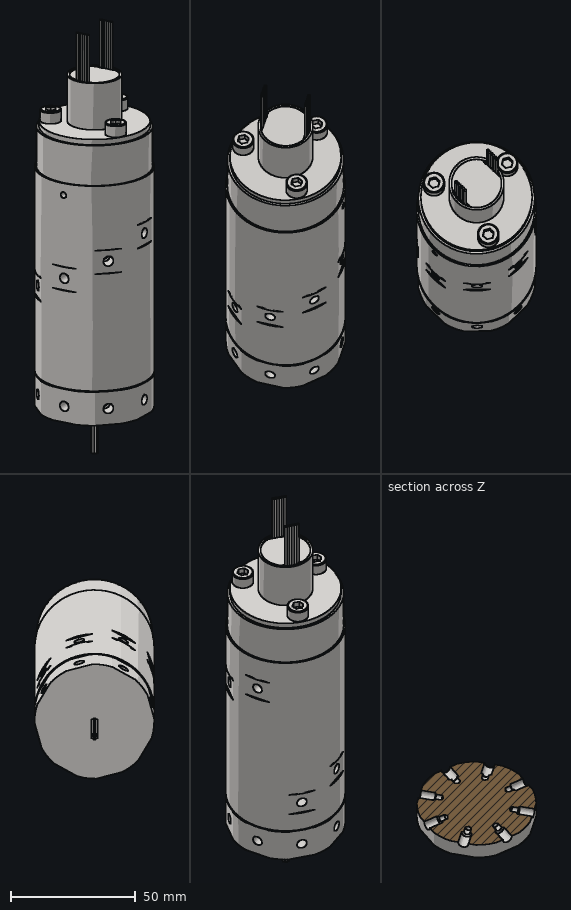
import cadquery as cq
import math

body_radius = 24.0
port_ring_height = 14.3
groove_height = 0.4
groove_depth = 0.3
body_top = 102.0
cover_radius = 23.3
cover_top = 119.0
flange_radius = 22.3
flange_top = 121.3
boss_radius = 11.0
boss_top = 141.1

port_count = 8
port_step_angle = 360 / port_count
flat_distance = 23.4
flat_height = 10.0
port_diameter = 4.1
port_depth = 6.0
pilot_diameter = 2.4
pilot_depth = 9.0
drill_point_angle = 118.0
ring_port_z = 6.9
first_port_angle = 90.0
first_port_z = 28.5
port_rise = 8.22

pin_hole_diameter = 2.5
pin_hole_depth = 5.0
pin_hole_z = 97.0
pin_hole_angle = 270.0

screw_count = 3
first_screw_angle = 90.0
screw_circle_radius = 17.6
screw_head_diameter = 8.5
screw_head_height = 5.0
screw_chamfer = 0.4
socket_across_flats = 4.0
socket_depth = 2.5

wire_diameter = 0.97
wire_gap = 0.03
wire_pitch = wire_diameter + wire_gap
wire_length = 20.0
wire_anchor = 3.0
row_wire_count = 6
bundle_outer_count = 6
bundle_first_angle = 30.0

recess_radius = 10.0
recess_depth = 0.2
slot_flat_distance = 8.6
slot_depth = 2.0
wire_row_y = slot_flat_distance + wire_diameter / 2


def cylinder(radius, bottom, top):
    return cq.Workplane("XY").workplane(offset=bottom).circle(radius).extrude(top - bottom)


def make_housing():
    groove_top = port_ring_height + groove_height
    housing = cylinder(body_radius, 0, port_ring_height)
    housing = housing.union(cylinder(body_radius - groove_depth, port_ring_height, groove_top))
    housing = housing.union(cylinder(body_radius, groove_top, body_top))
    housing = housing.union(cylinder(cover_radius, body_top, cover_top))
    housing = housing.union(cylinder(flange_radius, cover_top, flange_top))
    return housing.union(cylinder(boss_radius, flange_top, boss_top))


def flat_cutter(angle, bottom, top):
    """Block that removes everything outside the flat between two heights."""
    thickness = 2 * (body_radius - flat_distance)
    block = cq.Workplane("XY").box(thickness, body_radius, top - bottom, centered=(False, True, False))
    return block.translate((flat_distance, 0, bottom)).rotate((0, 0, 0), (0, 0, 1), angle)


def radial_drill(angle, z, diameter, depth, start_radius):
    """Drill with a conical point, entering towards the axis."""
    radius = diameter / 2
    point_length = radius / math.tan(math.radians(drill_point_angle / 2))
    bottom_radius = start_radius - depth
    profile = (
        cq.Workplane("XY")
        .moveTo(bottom_radius - point_length, 0)
        .lineTo(bottom_radius, radius)
        .lineTo(body_radius + radius, radius)
        .lineTo(body_radius + radius, 0)
        .close()
    )
    drill = profile.revolve(360, (0, 0, 0), (1, 0, 0))
    return drill.translate((0, 0, z)).rotate((0, 0, 0), (0, 0, 1), angle)


def port_drill(angle, z):
    """Port with a narrower pilot hole at its bottom."""
    port = radial_drill(angle, z, port_diameter, port_depth, flat_distance)
    return port.union(radial_drill(angle, z, pilot_diameter, pilot_depth, flat_distance))


def cut_ports(part):
    for index in range(port_count):
        angle = first_port_angle + index * port_step_angle
        part = part.cut(flat_cutter(angle, 0, port_ring_height))
        part = part.cut(port_drill(angle, ring_port_z))

        z = first_port_z + index * port_rise
        part = part.cut(flat_cutter(angle, z - flat_height / 2, z + flat_height / 2))
        part = part.cut(port_drill(angle, z))
    return part


def add_screws(part):
    head = (
        cq.Workplane("XY")
        .workplane(offset=flange_top)
        .circle(screw_head_diameter / 2)
        .extrude(screw_head_height)
        .faces(">Z")
        .chamfer(screw_chamfer)
    )
    socket_across_corners = socket_across_flats / math.cos(math.radians(30))
    socket = (
        cq.Workplane("XY")
        .workplane(offset=flange_top + screw_head_height - socket_depth)
        .polygon(6, socket_across_corners)
        .extrude(socket_depth)
    )
    screw = head.cut(socket)
    for index in range(screw_count):
        angle = math.radians(first_screw_angle + index * 360 / screw_count)
        x = screw_circle_radius * math.cos(angle)
        y = screw_circle_radius * math.sin(angle)
        part = part.union(screw.translate((x, y, 0)))
    return part


def wire_slot(side):
    """Circular segment left between the recess circle and a flat at +Y (side 1) or -Y (side -1)."""
    disc = cylinder(recess_radius, boss_top - slot_depth, boss_top)
    half = cq.Workplane("XY").box(2 * recess_radius, recess_radius, boss_top, centered=(True, False, False))
    half = half.translate((0, slot_flat_distance, 0))
    if side < 0:
        half = half.rotate((0, 0, 0), (0, 0, 1), 180)
    return disc.intersect(half)


def wire_row(side):
    row_half_length = (row_wire_count - 1) * wire_pitch / 2
    row = cq.Workplane("XY")
    for index in range(row_wire_count):
        x = index * wire_pitch - row_half_length
        wire = cylinder(wire_diameter / 2, boss_top - wire_anchor, boss_top + wire_length)
        row = row.union(wire.translate((x, side * wire_row_y, 0)))
    return row


def wire_bundle():
    """One wire on the axis with a ring of wires around it."""
    wire = cylinder(wire_diameter / 2, -wire_length, wire_anchor)
    bundle = wire
    for index in range(bundle_outer_count):
        angle = math.radians(bundle_first_angle + index * 360 / bundle_outer_count)
        x = wire_pitch * math.cos(angle)
        y = wire_pitch * math.sin(angle)
        bundle = bundle.union(wire.translate((x, y, 0)))
    return bundle


result = cut_ports(make_housing())
result = result.cut(radial_drill(pin_hole_angle, pin_hole_z, pin_hole_diameter, pin_hole_depth, body_radius))
result = add_screws(result)
result = result.cut(cylinder(recess_radius, boss_top - recess_depth, boss_top))
for boss_side in (1, -1):
    result = result.cut(wire_slot(boss_side)).union(wire_row(boss_side))
result = result.union(wire_bundle())